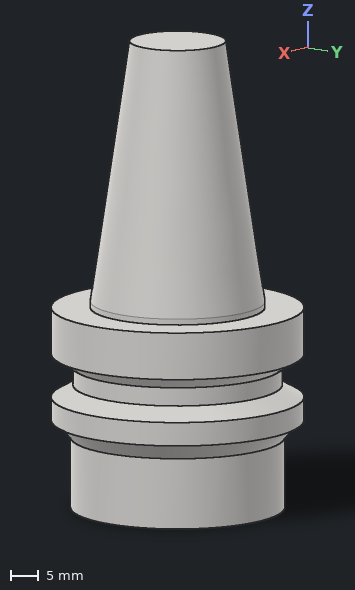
import cadquery as cq

base_diameter = 39.0
collar_diameter = 44.1
flange_diameter = 46.0
groove_diameter = 38.0
taper_large_diameter = 31.7
taper_small_diameter = 17.5

base_top = 13.05
collar_top = 16.2
lower_flange_top = 20.5
groove_bottom = 22.7
groove_top = 26.1
upper_flange_bottom = 28.4
flange_face = 37.1
taper_start = 38.2
total_height = 86.4

section = [
    (base_diameter, 0),
    (base_diameter, base_top),
    (collar_diameter, collar_top),
    (flange_diameter, collar_top),
    (flange_diameter, lower_flange_top),
    (groove_diameter, groove_bottom),
    (groove_diameter, groove_top),
    (flange_diameter, upper_flange_bottom),
    (flange_diameter, flange_face),
    (taper_large_diameter, flange_face),
    (taper_large_diameter, taper_start),
    (taper_small_diameter, total_height),
]

profile = cq.Workplane("XZ").moveTo(0, 0)
for diameter, height in section:
    profile = profile.lineTo(diameter / 2, height)
profile = profile.lineTo(0, total_height).close()

result = profile.revolve(360, (0, 0, 0), (0, 1, 0))